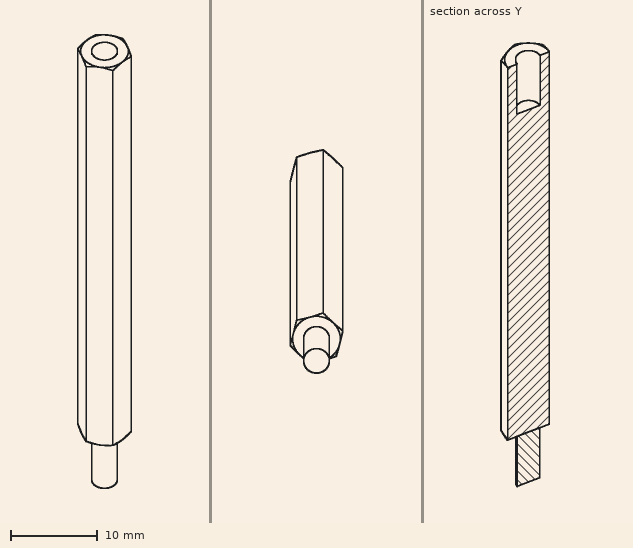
import cadquery as cq
import math

total_length = 68.0
stud_length = 8.0
thread_diameter = 3.0
across_flats = 5.5
hole_depth = stud_length
chamfer_angle = 30.0

spacer_length = total_length - stud_length
across_corners = across_flats / math.cos(math.radians(30))
corner_overhang = (across_corners - across_flats) / 2
chamfer_height = corner_overhang * math.tan(math.radians(chamfer_angle))


def make_chamfer_envelope():
    """Turned blank whose conical ends trim the hexagon's corners."""
    end_radius = across_flats / 2
    full_radius = across_corners / 2
    return (
        cq.Workplane("XZ")
        .moveTo(0, stud_length)
        .lineTo(end_radius, stud_length)
        .lineTo(full_radius, stud_length + chamfer_height)
        .lineTo(full_radius, total_length - chamfer_height)
        .lineTo(end_radius, total_length)
        .lineTo(0, total_length)
        .close()
        .revolve(360, (0, 0, 0), (0, 1, 0))
    )


def make_spacer():
    """Hexagonal spacer with flats facing X and a blind hole in its top."""
    hexagon = (
        cq.Workplane("XY")
        .workplane(offset=stud_length)
        .transformed(rotate=(0, 0, 90))
        .polygon(6, across_corners)
        .extrude(spacer_length)
    )
    hole = (
        cq.Workplane("XY")
        .workplane(offset=total_length - hole_depth)
        .circle(thread_diameter / 2)
        .extrude(hole_depth)
    )
    return hexagon.intersect(make_chamfer_envelope()).cut(hole).solids()


def make_stud():
    """Plain round stud that meets the spacer's lower end face."""
    return cq.Workplane("XY").circle(thread_diameter / 2).extrude(stud_length)


spacer = make_spacer()
stud = make_stud()

result = cq.Compound.makeCompound([spacer.val(), stud.val()])